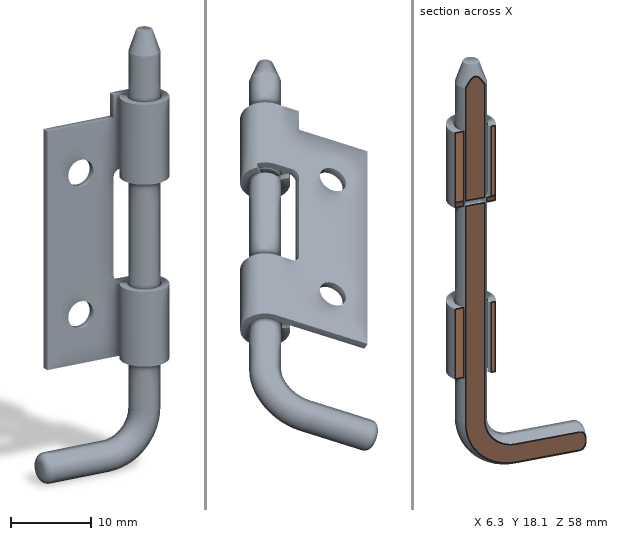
import cadquery as cq
import math


knuckle_radius = 3.15
sheet_thickness = 1.0
bore_radius = knuckle_radius - sheet_thickness
curl_end_angle = math.radians(235)
plate_edge_y = -12.7
leaf_bottom_z = 14.1
plate_height = 31.9
leaf_height = 35.0
plate_top_z = leaf_bottom_z + plate_height
leaf_top_z = leaf_bottom_z + leaf_height
lower_knuckle_height = 10.0
upper_knuckle_height = 10.0
gap_bottom_z = leaf_bottom_z + lower_knuckle_height
gap_top_z = leaf_top_z - upper_knuckle_height
step_edge_y = -3.2
gap_corner_radius = 1.0

mounting_hole_diameter = 3.6
mounting_hole_y = -7.9
mounting_hole_inset = 6.5

pin_radius = 2.0
pin_height = 58
pin_tip_radius = 1.015
pin_tip_length = 2.9
bend_radius = 5.5
foot_end_y = -15.0
foot_rounding = 1.0

groove_radius = 1.15
clip_thickness = 0.7
clip_top_z = gap_top_z
clip_bottom_z = clip_top_z - clip_thickness
clip_radius = knuckle_radius
clip_mouth_half_angle = math.radians(45)


def polar(radius, angle):
    return (radius * math.cos(angle), radius * math.sin(angle))


def outline_cutter(x_start, y_start, y_end, z_start, z_end):
    """Block from x_start to the far side of the knuckles, used to cut the leaf outline."""
    return (
        cq.Workplane("XY", origin=(x_start, y_start, z_start))
        .box(knuckle_radius - x_start, y_end - y_start, z_end - z_start, centered=False)
    )


def make_leaf():
    leaf = (
        cq.Workplane("XY", origin=(0, 0, leaf_bottom_z))
        .moveTo(-knuckle_radius, plate_edge_y)
        .lineTo(-knuckle_radius, 0)
        .threePointArc((knuckle_radius, 0), polar(knuckle_radius, curl_end_angle))
        .lineTo(*polar(bore_radius, curl_end_angle))
        .threePointArc((bore_radius, 0), (-bore_radius, 0))
        .lineTo(-bore_radius, plate_edge_y)
        .close()
        .extrude(leaf_height)
    )

    step = outline_cutter(-knuckle_radius, plate_edge_y, step_edge_y, plate_top_z, leaf_top_z)

    plate_gap = outline_cutter(-knuckle_radius, step_edge_y, knuckle_radius, gap_bottom_z, gap_top_z)
    plate_gap = plate_gap.faces("<Y").edges("|X").fillet(gap_corner_radius)
    curl_gap = outline_cutter(-bore_radius, step_edge_y, knuckle_radius, gap_bottom_z, gap_top_z)

    return leaf.cut(step).cut(plate_gap).cut(curl_gap).cut(make_mounting_holes())


def make_mounting_holes():
    hole_places = [
        (mounting_hole_y, leaf_bottom_z + mounting_hole_inset),
        (mounting_hole_y, plate_top_z - mounting_hole_inset),
    ]
    return (
        cq.Workplane("YZ", origin=(-knuckle_radius, 0, 0))
        .pushPoints(hole_places)
        .circle(mounting_hole_diameter / 2)
        .extrude(sheet_thickness)
    )


def make_pin():
    bend_top_z = pin_radius + bend_radius
    shaft = (
        cq.Workplane("XZ")
        .moveTo(0, bend_top_z)
        .lineTo(pin_radius, bend_top_z)
        .lineTo(pin_radius, clip_bottom_z)
        .lineTo(groove_radius, clip_bottom_z)
        .lineTo(groove_radius, clip_top_z)
        .lineTo(pin_radius, clip_top_z)
        .lineTo(pin_radius, pin_height - pin_tip_length)
        .lineTo(pin_tip_radius, pin_height)
        .lineTo(0, pin_height)
        .close()
        .revolve(360, (0, 0, 0), (0, 1, 0))
    )

    bend = (
        cq.Workplane("XY", origin=(0, 0, bend_top_z))
        .circle(pin_radius)
        .revolve(90, (0.6, -bend_radius, 0), (0, -bend_radius, 0))
    )

    foot = (
        cq.Workplane("XZ", origin=(0, -bend_radius, pin_radius))
        .circle(pin_radius)
        .extrude(-foot_end_y - bend_radius)
        .faces("<Y")
        .edges()
        .fillet(foot_rounding)
    )
    return shaft.union(bend).union(foot)


def make_clip():
    upper_angle = math.pi - clip_mouth_half_angle
    lower_angle = math.pi + clip_mouth_half_angle
    return (
        cq.Workplane("XY", origin=(0, 0, clip_bottom_z))
        .moveTo(*polar(clip_radius, upper_angle))
        .threePointArc((clip_radius, 0), polar(clip_radius, lower_angle))
        .lineTo(*polar(groove_radius, lower_angle))
        .threePointArc((groove_radius, 0), polar(groove_radius, upper_angle))
        .close()
        .extrude(clip_thickness)
    )


leaf = make_leaf()
pin = make_pin()
clip = make_clip()

result = cq.Compound.makeCompound([leaf.val(), pin.val(), clip.val()])